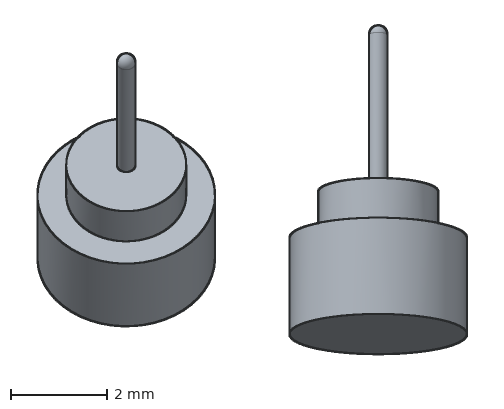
import cadquery as cq

total_height = 6.6
base_diameter = 3.7
base_height = 2.06
collar_diameter = 2.5
collar_height = 0.99
pin_diameter = 0.39

pin_radius = pin_diameter / 2
collar_top = base_height + collar_height
pin_length = total_height - collar_top

base = cq.Workplane("XY").circle(base_diameter / 2).extrude(base_height)
collar = (
    cq.Workplane("XY", origin=(0, 0, base_height))
    .circle(collar_diameter / 2)
    .extrude(collar_height)
)

pin_shaft = (
    cq.Workplane("XY", origin=(0, 0, collar_top))
    .circle(pin_radius)
    .extrude(pin_length - pin_radius)
)
pin_tip = cq.Workplane("XY", origin=(0, 0, total_height - pin_radius)).sphere(pin_radius)

result = base.union(collar).union(pin_shaft).union(pin_tip)